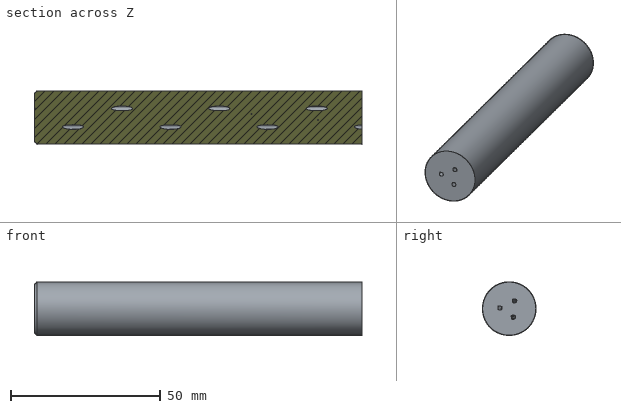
import cadquery as cq
import math

length = 110.0
diameter = 18.0
end_chamfer = 0.9

channel_count = 3
channel_diameter = 1.4
channel_circle_radius = 3.15
first_channel_angle = 132.0
helix_angle = 30.0

helix_pitch = math.pi * diameter / math.tan(math.radians(helix_angle))
channel_twist = 360 * length / helix_pitch


def end_plane():
    """Workplane on the -X end face, facing +X."""
    return cq.Workplane("YZ", origin=(-length / 2, 0, 0))


def rod():
    """Cylinder along X with a chamfer around its -X end."""
    body = end_plane().circle(diameter / 2).extrude(length)
    return body.faces("<X").edges().chamfer(end_chamfer)


def coolant_channel(start_angle):
    """Cutting shape of one channel: a small circle twisted about the rod axis."""
    y = channel_circle_radius * math.cos(math.radians(start_angle))
    z = channel_circle_radius * math.sin(math.radians(start_angle))
    return end_plane().moveTo(y, z).circle(channel_diameter / 2).twistExtrude(length, channel_twist)


result = rod()
for index in range(channel_count):
    result = result.cut(coolant_channel(first_channel_angle + index * 360 / channel_count))